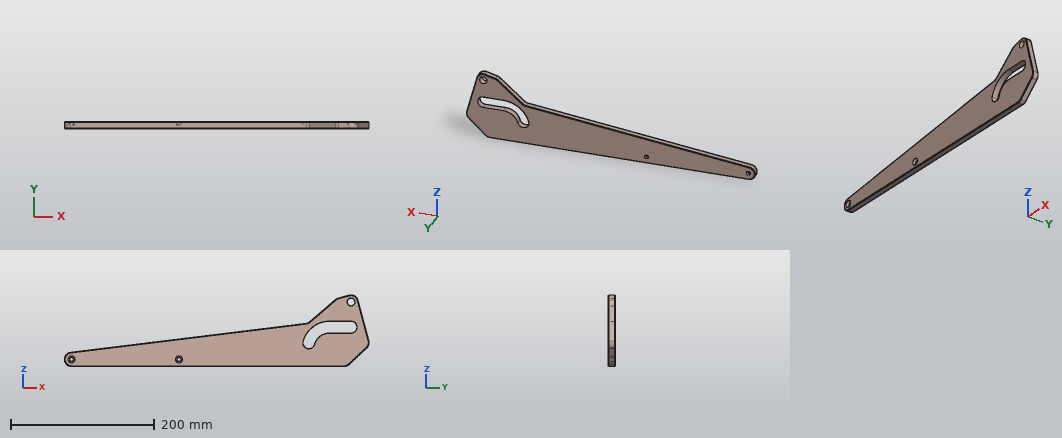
import cadquery as cq
import math

thickness = 10.0
end_radius = 10.0
corner_radius = 10.0
edge_chamfer = 1.0
overall_length = 425.19

end_hole = (0.0, 0.0)
middle_hole = (150.0, 0.0)
top_hole = (390.0, 80.0)

arm_slope = 7.0
head_tilt = 15.0
lower_edge_slope = 43.2

flank_start_x = 330.0
flank_end_x = 370.0

top_hole_diameter = 10.5
bore_diameter = 5.5
counterbore_diameter = 10.0
counterbore_depth = 5.0

slot_width = 16.3
slot_end = (390.0, 45.0)
slot_bend_x = 360.0
slot_bend_radius = 30.0
slot_end_angle = 164.3


def point_at(center, radius, degrees):
    """Point on a circle, at an angle from +X."""
    angle = math.radians(degrees)
    return (center[0] + radius * math.cos(angle), center[1] + radius * math.sin(angle))


def right_corner():
    """Corner of the right edge and the sloping lower edge, before rounding."""
    max_x = end_hole[0] - end_radius + overall_length
    half_turn = math.radians((90 + head_tilt - lower_edge_slope) / 2)
    bisector = math.radians((head_tilt - (90 - lower_edge_slope)) / 2)
    overshoot = corner_radius * (math.cos(bisector) / math.cos(half_turn) - 1)
    x = max_x + overshoot
    tangent_x, tangent_z = point_at(top_hole, end_radius, head_tilt)
    return (x, tangent_z - (x - tangent_x) / math.tan(math.radians(head_tilt)))


def make_plate():
    """Long tapered arm widening into a tilted head."""
    bottom_z = end_hole[1] - end_radius
    arm_start = point_at(end_hole, end_radius, 90 + arm_slope)
    head_top = point_at(top_hole, end_radius, 90 + head_tilt)
    head_right = point_at(top_hole, end_radius, head_tilt)
    flank_start = (
        flank_start_x,
        arm_start[1] + (flank_start_x - arm_start[0]) * math.tan(math.radians(arm_slope)),
    )
    flank_end = (
        flank_end_x,
        head_top[1] - (head_top[0] - flank_end_x) * math.tan(math.radians(head_tilt)),
    )
    right = right_corner()
    lower_edge_run = (right[1] - bottom_z) / math.tan(math.radians(lower_edge_slope))
    bottom = (right[0] - lower_edge_run, bottom_z)

    plate = (
        cq.Workplane("XZ")
        .moveTo(end_hole[0], bottom_z)
        .threePointArc(point_at(end_hole, end_radius, 180), arm_start)
        .lineTo(*flank_start)
        .lineTo(*flank_end)
        .lineTo(*head_top)
        .threePointArc(point_at(top_hole, end_radius, 45 + head_tilt), head_right)
        .lineTo(*right)
        .lineTo(*bottom)
        .close()
        .extrude(-thickness)
    )
    for x, z in (flank_start, flank_end, right, bottom):
        corner = cq.selectors.NearestToPointSelector((x, thickness / 2, z))
        plate = plate.edges("|Y").edges(corner).fillet(corner_radius)
    return plate.faces("<Y or >Y").edges().chamfer(edge_chamfer)


def cylinder(center, diameter, depth):
    """Round cutter going in from the front face."""
    return cq.Workplane("XZ").center(*center).circle(diameter / 2).extrude(-depth)


def counterbored_hole(center):
    """Through hole with a wider bore on the front face."""
    through = cylinder(center, bore_diameter, thickness)
    return through.union(cylinder(center, counterbore_diameter, counterbore_depth))


def bent_slot():
    """Cutter for the slot with round ends."""
    half = slot_width / 2
    outer = slot_bend_radius + half
    inner = slot_bend_radius - half
    center = (slot_bend_x, slot_end[1] - slot_bend_radius)
    mid_angle = (90 + slot_end_angle) / 2
    arc_end = point_at(center, slot_bend_radius, slot_end_angle)
    return (
        cq.Workplane("XZ")
        .moveTo(slot_end[0], slot_end[1] + half)
        .lineTo(slot_bend_x, slot_end[1] + half)
        .threePointArc(point_at(center, outer, mid_angle), point_at(center, outer, slot_end_angle))
        .threePointArc(
            point_at(arc_end, half, slot_end_angle + 90),
            point_at(center, inner, slot_end_angle),
        )
        .threePointArc(point_at(center, inner, mid_angle), (slot_bend_x, slot_end[1] - half))
        .lineTo(slot_end[0], slot_end[1] - half)
        .threePointArc((slot_end[0] + half, slot_end[1]), (slot_end[0], slot_end[1] + half))
        .close()
        .extrude(-thickness)
    )


result = (
    make_plate()
    .cut(cylinder(top_hole, top_hole_diameter, thickness))
    .cut(counterbored_hole(end_hole))
    .cut(counterbored_hole(middle_hole))
    .cut(bent_slot())
)